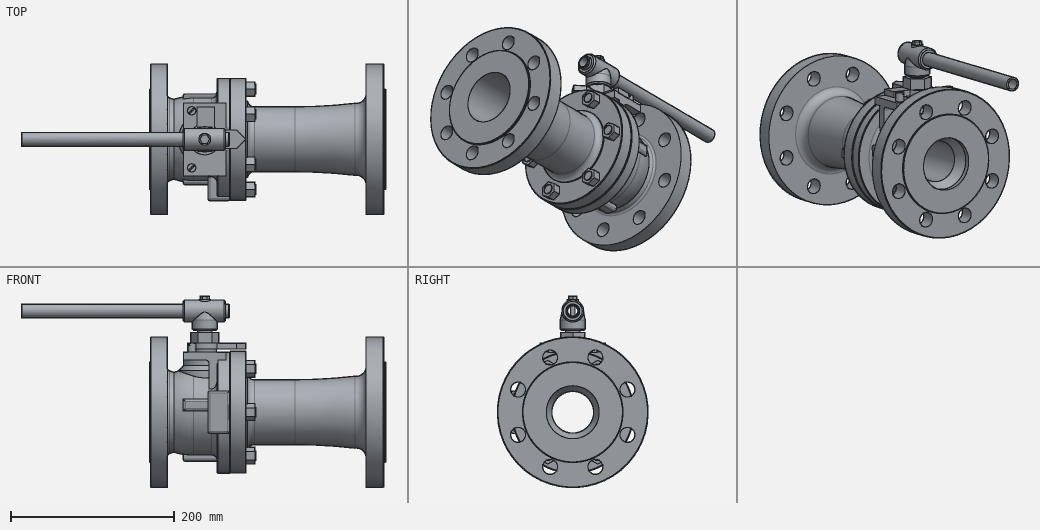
import cadquery as cq
import math


INLET_X = -68.0
FACE_TO_FACE = 290.0
OUTLET_X = INLET_X + FACE_TO_FACE

FLANGE_D = 185.0
RAISED_FACE_D = 123.5
INLET_RAISE = 1.5
OUTLET_RAISE = 2.5
FLANGE_CHAMFER = 0.8
INLET_FLANGE_BACK_X = -45.7
OUTLET_FLANGE_BACK_X = 197.6
FLANGE_HOLE_D = 18.15
FLANGE_HOLE_CIRCLE_D = 145.0
FLANGE_HOLE_COUNT = 8
HUB_D = 108.0

PORT_D = 65.0
SEAT_D = 50.9
PORT_STRAIGHT_DEPTH = 7.0
CONE_DEPTH = 15.0

HUB_FILLET_END_X = -43.3
HUB_FILLET_END_D = 102.0
HOUSING_WAIST_X = -38.0
HOUSING_WAIST_D = 98.0
HOUSING_BARREL_X = -14.0
HOUSING_D = 106.0
ROOT_R = 40.0
JOINT_FILLET_R = 7.0
JOINT_D = 149.75
JOINT_CHAMFER = 0.9
JOINT_START_X = 15.2
JOINT_END_X = 50.7
GASKET_START_X = 30.5
GASKET_WIDTH = 1.2
GASKET_DEPTH = 1.0

PIPE_D = 80.0
COVER_HUB_D = 94.0
COVER_HUB_START_X = 52.6
COVER_HUB_END_X = 61.0
TAPER_START_X = 110.5
TAPER_END_X = 184.0
TAPER_END_D = 88.6

BOLT_COUNT = 6
HEXAGON_HALF_STEP = 30.0
BOLT_CIRCLE_D = 123.0
BOLT_HEAD_FLATS = 18.0
BOLT_HEAD_HEIGHT = 10.6
BOLT_TIP_D = 12.0
BOLT_TIP_HEIGHT = 1.3

PLATE_LENGTH = 52.5
PLATE_WIDTH = 89.5
PLATE_TOP_Z = 73.6
PLATE_THICKNESS = 9.6
NECK_D = 52.5
NECK_FLARE_TOP_Z = 57.0
NECK_FLARE_BOTTOM_Z = 51.0
WEB_START_X = 5.0
WEB_END_X = 16.0
WEB_CORNER_R = 4.0

LUG_START_X = 3.8
LUG_HEIGHT = 52.5
LUG_REACH = 75.5
LUG_EDGE_R = 2.8
RIB_START_X = -26.5
RIB_WIDTH = 14.5
SIDE_RIB_REACH = 55.8
SIDE_RIB_Z = 8.7
BOTTOM_RIB_REACH = 60.3
RIB_EDGE_R = 3.0

SCREW_D = 10.11
SCREW_HEIGHT = 11.0
SCREW_X = -16.0
SCREW_SPACING = 70.0
SCREW_SLOT_WIDTH = 1.5
SCREW_SLOT_DEPTH = 2.5
SCREW_SLOT_ANGLE = 45.0

STEM_D = 18.15
GLAND_D = 29.07
STOP_PLATE_BOTTOM_Z = 77.3
STOP_PLATE_TOP_Z = 84.6
STOP_PLATE_D = 38.0
POINTER_WIDTH = 22.8
POINTER_SHOULDER_X = 39.0
POINTER_TIP_X = 50.3
STOP_ARM_START_X = -9.5
STOP_ARM_END_X = 12.0
STOP_ARM_REACH = 39.5
NUT_FLATS = 29.8
NUT_TOP_Z = 98.0

LEVER_Z = 124.1
COLLAR_D = 31.0
COLLAR_BOTTOM_Z = 100.3
COLLAR_CHAMFER = 1.8
COLLAR_TOP_Z = 113.0
COLLAR_CROWN_HEIGHT = 10.5
COLLAR_CROWN_INSET = 2.2
SLEEVE_D = 27.0
SLEEVE_START_X = -26.5
SLEEVE_END_X = 25.2
SLEEVE_CHAMFER = 1.8
ROD_D = 17.1
ROD_BORE_D = 12.48
ROD_START_X = -224.5
ROD_END_X = 30.5
ROD_END_CHAMFER = 1.2
CLAMP_SCREW_D = 6.0
CLAMP_HEAD_FLATS = 10.11
CLAMP_COLLAR_D = 14.5
CLAMP_COLLAR_TOP_Z = 138.5
CLAMP_TOP_Z = 142.41


def cylinder_x(diameter, start_x, end_x, z=0.0):
    """Cylinder parallel to the X axis."""
    return cq.Workplane("YZ", origin=(start_x, 0, z)).circle(diameter / 2).extrude(end_x - start_x)


def cylinder_z(diameter, bottom_z, top_z):
    """Cylinder on the stem axis."""
    return cq.Workplane("XY", origin=(0, 0, bottom_z)).circle(diameter / 2).extrude(top_z - bottom_z)


def block(x_range, y_range, z_range):
    """Axis-aligned box given by its limits."""
    size = [high - low for low, high in (x_range, y_range, z_range)]
    corner = (x_range[0], y_range[0], z_range[0])
    return cq.Workplane("XY").box(*size, centered=False).translate(corner)


def hexagon_diameter(flats):
    """Corner-to-corner size of a hexagon from its width across flats."""
    return flats / math.cos(math.pi / 6)


def concave_mid(wide, narrow):
    """Point on a concave fillet, midway from a wide face to a narrower cylinder."""
    bend = 1 - math.sqrt(0.5)
    x = wide[0] + (narrow[0] - wide[0]) * bend
    r = narrow[1] + (wide[1] - narrow[1]) * bend
    return (x, r)


def arc_mid_level_at_end(start, end):
    """Midpoint of the arc from start to end that is parallel to the X axis at its end."""
    run = end[0] - start[0]
    rise = end[1] - start[1]
    radius = (run**2 + rise**2) / (2 * rise)
    half_angle = math.asin(run / radius) / 2
    return (end[0] - radius * math.sin(half_angle), end[1] - radius * (1 - math.cos(half_angle)))


def make_body():
    """Revolved flanges, ball housing, bolted joint and outlet pipe, without the passage."""
    hub_start = (INLET_FLANGE_BACK_X, HUB_D / 2)
    hub_end = (HUB_FILLET_END_X, HUB_FILLET_END_D / 2)
    waist = (HOUSING_WAIST_X, HOUSING_WAIST_D / 2)
    barrel = (HOUSING_BARREL_X, HOUSING_D / 2)
    joint_fillet_start = (JOINT_START_X - JOINT_FILLET_R, HOUSING_D / 2)
    joint_fillet_end = (JOINT_START_X, HOUSING_D / 2 + JOINT_FILLET_R)
    cover_hub = (COVER_HUB_START_X, COVER_HUB_D / 2)
    pipe_start = (COVER_HUB_END_X, PIPE_D / 2)
    taper_start = (TAPER_START_X, PIPE_D / 2)
    taper_end = (TAPER_END_X, TAPER_END_D / 2)
    outlet_hub = (OUTLET_FLANGE_BACK_X, HUB_D / 2)
    inlet_front_x = INLET_X + INLET_RAISE
    outlet_front_x = OUTLET_X - OUTLET_RAISE
    face_r = RAISED_FACE_D / 2
    flange_r = FLANGE_D / 2
    joint_r = JOINT_D / 2
    profile = (
        cq.Workplane("XZ")
        .moveTo(INLET_X, 0)
        .lineTo(INLET_X, face_r - FLANGE_CHAMFER)
        .lineTo(INLET_X + FLANGE_CHAMFER, face_r)
        .lineTo(inlet_front_x, face_r)
        .lineTo(inlet_front_x, flange_r - FLANGE_CHAMFER)
        .lineTo(inlet_front_x + FLANGE_CHAMFER, flange_r)
        .lineTo(INLET_FLANGE_BACK_X, flange_r)
        .lineTo(*hub_start)
        .threePointArc(concave_mid(hub_start, hub_end), hub_end)
        .lineTo(*waist)
        .threePointArc(arc_mid_level_at_end(waist, barrel), barrel)
        .lineTo(*joint_fillet_start)
        .threePointArc(concave_mid(joint_fillet_end, joint_fillet_start), joint_fillet_end)
        .lineTo(JOINT_START_X, joint_r - JOINT_CHAMFER)
        .lineTo(JOINT_START_X + JOINT_CHAMFER, joint_r)
        .lineTo(JOINT_END_X - JOINT_CHAMFER, joint_r)
        .lineTo(JOINT_END_X, joint_r - JOINT_CHAMFER)
        .lineTo(JOINT_END_X, COVER_HUB_D / 2)
        .lineTo(*cover_hub)
        .threePointArc(concave_mid(cover_hub, pipe_start), pipe_start)
        .lineTo(*taper_start)
        .threePointArc(arc_mid_level_at_end(taper_end, taper_start), taper_end)
        .threePointArc(concave_mid(outlet_hub, taper_end), outlet_hub)
        .lineTo(OUTLET_FLANGE_BACK_X, flange_r)
        .lineTo(outlet_front_x - FLANGE_CHAMFER, flange_r)
        .lineTo(outlet_front_x, flange_r - FLANGE_CHAMFER)
        .lineTo(outlet_front_x, face_r)
        .lineTo(OUTLET_X - FLANGE_CHAMFER, face_r)
        .lineTo(OUTLET_X, face_r - FLANGE_CHAMFER)
        .lineTo(OUTLET_X, 0)
        .close()
    )
    body = profile.revolve(360, (0, 0, 0), (1, 0, 0))
    gasket_end_x = GASKET_START_X + GASKET_WIDTH
    groove = cylinder_x(JOINT_D, GASKET_START_X, gasket_end_x).cut(
        cylinder_x(JOINT_D - 2 * GASKET_DEPTH, GASKET_START_X, gasket_end_x)
    )
    crown = block((JOINT_START_X, GASKET_START_X), (-joint_r, joint_r), (PLATE_TOP_Z, joint_r))
    return body.cut(groove).cut(crown)


def make_passage():
    """Flow passage: full-size ports that narrow by cones to the bore of the ball."""
    inlet_cone_x = INLET_X + PORT_STRAIGHT_DEPTH
    seat_x = inlet_cone_x + CONE_DEPTH
    return (
        cq.Workplane("XZ")
        .moveTo(INLET_X, 0)
        .lineTo(INLET_X, PORT_D / 2)
        .lineTo(inlet_cone_x, PORT_D / 2)
        .lineTo(seat_x, SEAT_D / 2)
        .lineTo(-seat_x, SEAT_D / 2)
        .lineTo(-inlet_cone_x, PORT_D / 2)
        .lineTo(OUTLET_X, PORT_D / 2)
        .lineTo(OUTLET_X, 0)
        .close()
        .revolve(360, (0, 0, 0), (1, 0, 0))
    )


def make_flange_holes():
    """Bolt holes through both pipe flanges, straddling the vertical centre line."""
    half_step = 180 / FLANGE_HOLE_COUNT

    def ring(start_x, end_x):
        return (
            cq.Workplane("YZ", origin=(start_x, 0, 0))
            .polarArray(FLANGE_HOLE_CIRCLE_D / 2, half_step, 360, FLANGE_HOLE_COUNT)
            .circle(FLANGE_HOLE_D / 2)
            .extrude(end_x - start_x)
        )

    return ring(INLET_X, INLET_FLANGE_BACK_X).union(ring(OUTLET_FLANGE_BACK_X, OUTLET_X))


def make_joint_bolts():
    """Hexagon heads with short tips around the cover flange."""
    head = (
        cq.Workplane("YZ", origin=(JOINT_END_X, 0, 0))
        .polygon(6, hexagon_diameter(BOLT_HEAD_FLATS))
        .extrude(BOLT_HEAD_HEIGHT)
        .rotate((0, 0, 0), (1, 0, 0), HEXAGON_HALF_STEP)
    )
    tip_x = JOINT_END_X + BOLT_HEAD_HEIGHT
    bolt = head.union(cylinder_x(BOLT_TIP_D, tip_x, tip_x + BOLT_TIP_HEIGHT))
    bolts = cq.Workplane("XY")
    for index in range(BOLT_COUNT):
        angle = 2 * math.pi * index / BOLT_COUNT
        y = BOLT_CIRCLE_D / 2 * math.cos(angle)
        z = BOLT_CIRCLE_D / 2 * math.sin(angle)
        bolts = bolts.union(bolt.translate((0, y, z)))
    return bolts


def make_mount():
    """Mounting plate, the round neck under it and the transverse web that carries it."""
    half_width = PLATE_WIDTH / 2
    plate_bottom_z = PLATE_TOP_Z - PLATE_THICKNESS
    plate = block(
        (-PLATE_LENGTH / 2, PLATE_LENGTH / 2),
        (-half_width, half_width),
        (plate_bottom_z, PLATE_TOP_Z),
    )
    web_bottom_z = math.sqrt((HOUSING_D / 2) ** 2 - half_width**2)
    web = (
        cq.Workplane("XZ", origin=(0, half_width, 0))
        .moveTo(WEB_START_X, web_bottom_z)
        .lineTo(WEB_START_X, plate_bottom_z - WEB_CORNER_R)
        .radiusArc((WEB_START_X - WEB_CORNER_R, plate_bottom_z), -WEB_CORNER_R)
        .lineTo(WEB_END_X, plate_bottom_z)
        .lineTo(WEB_END_X, web_bottom_z)
        .close()
        .extrude(PLATE_WIDTH)
    )
    neck = cylinder_z(NECK_D, PORT_D / 2, plate_bottom_z)
    flare_height = NECK_FLARE_TOP_Z - NECK_FLARE_BOTTOM_Z
    flare = cylinder_z(NECK_D + 2 * flare_height, PORT_D / 2, NECK_FLARE_TOP_Z)
    flare = flare.faces(">Z").edges().chamfer(flare_height)
    return plate.union(web).union(neck).union(flare)


def make_lug():
    """Rectangular lug on the -Y side with rounded outer edges."""
    half_height = LUG_HEIGHT / 2
    lug = block(
        (LUG_START_X, GASKET_START_X),
        (-LUG_REACH, -ROOT_R),
        (-half_height, half_height),
    )
    lug = lug.faces("<X").edges("|Y").fillet(LUG_EDGE_R)
    return lug.faces("<Y").edges().fillet(LUG_EDGE_R)


def make_ribs():
    """Lengthwise ribs on both sides and the underside of the housing."""
    half = RIB_WIDTH / 2
    side_z = (SIDE_RIB_Z - half, SIDE_RIB_Z + half)
    rib_x = (RIB_START_X, JOINT_START_X)
    near = block(rib_x, (-SIDE_RIB_REACH, -ROOT_R), side_z)
    far = block(rib_x, (ROOT_R, SIDE_RIB_REACH), side_z)
    under = block(rib_x, (-half, half), (-BOTTOM_RIB_REACH, -ROOT_R))
    near = near.faces("<Y").edges("|X or <X").fillet(RIB_EDGE_R)
    far = far.faces(">Y").edges("|X or <X").fillet(RIB_EDGE_R)
    under = under.faces("<Z").edges("|X or <X").fillet(RIB_EDGE_R)
    return near.union(far).union(under)


def make_stop_screws():
    """Two slotted screws standing on the mounting plate."""
    top_z = PLATE_TOP_Z + SCREW_HEIGHT
    slot = (
        cq.Workplane("XY", origin=(0, 0, top_z - SCREW_SLOT_DEPTH))
        .rect(2 * SCREW_D, SCREW_SLOT_WIDTH)
        .extrude(SCREW_SLOT_DEPTH)
        .rotate((0, 0, 0), (0, 0, 1), SCREW_SLOT_ANGLE)
    )
    screw = cylinder_z(SCREW_D, PLATE_TOP_Z, top_z).cut(slot)
    half = SCREW_SPACING / 2
    return screw.translate((SCREW_X, half, 0)).union(screw.translate((SCREW_X, -half, 0)))


def make_stem():
    """Stem with gland, pointed stop plate and hexagon nut."""
    stem = cylinder_z(STEM_D, PLATE_TOP_Z, COLLAR_TOP_Z)
    gland = cylinder_z(GLAND_D, PLATE_TOP_Z, STOP_PLATE_BOTTOM_Z)
    thickness = STOP_PLATE_TOP_Z - STOP_PLATE_BOTTOM_Z
    half_pointer = POINTER_WIDTH / 2
    pointer = (
        cq.Workplane("XY", origin=(0, 0, STOP_PLATE_BOTTOM_Z))
        .polyline([
            (0, -half_pointer),
            (POINTER_SHOULDER_X, -half_pointer),
            (POINTER_TIP_X, 0),
            (POINTER_SHOULDER_X, half_pointer),
            (0, half_pointer),
        ])
        .close()
        .extrude(thickness)
    )
    arm = block(
        (STOP_ARM_START_X, STOP_ARM_END_X),
        (0, STOP_ARM_REACH),
        (STOP_PLATE_BOTTOM_Z, STOP_PLATE_TOP_Z),
    )
    disc = cylinder_z(STOP_PLATE_D, STOP_PLATE_BOTTOM_Z, STOP_PLATE_TOP_Z)
    nut = (
        cq.Workplane("XY", origin=(0, 0, STOP_PLATE_TOP_Z))
        .polygon(6, hexagon_diameter(NUT_FLATS))
        .extrude(NUT_TOP_Z - STOP_PLATE_TOP_Z)
    )
    return stem.union(gland).union(disc).union(pointer).union(arm).union(nut)


def make_lever():
    """Collar, cross sleeve, tubular rod and clamping screw."""
    collar = cylinder_z(COLLAR_D, COLLAR_BOTTOM_Z, COLLAR_TOP_Z + COLLAR_CROWN_HEIGHT)
    collar = collar.faces(">Z").edges().chamfer(COLLAR_CROWN_HEIGHT, COLLAR_CROWN_INSET)
    collar = collar.faces("<Z").edges().chamfer(COLLAR_CHAMFER)
    sleeve = cylinder_x(SLEEVE_D, SLEEVE_START_X, SLEEVE_END_X, LEVER_Z)
    sleeve = sleeve.faces("<X or >X").edges().chamfer(SLEEVE_CHAMFER)
    rod = cylinder_x(ROD_D, ROD_START_X, ROD_END_X, LEVER_Z)
    rod = rod.faces(">X").edges().chamfer(ROD_END_CHAMFER)
    bore = cylinder_x(ROD_BORE_D, ROD_START_X, ROD_END_X, LEVER_Z)
    shank = cylinder_z(CLAMP_SCREW_D, LEVER_Z - SLEEVE_D / 2, CLAMP_TOP_Z)
    seat = cylinder_z(CLAMP_COLLAR_D, LEVER_Z + ROD_D / 2, CLAMP_COLLAR_TOP_Z)
    head = (
        cq.Workplane("XY", origin=(0, 0, CLAMP_COLLAR_TOP_Z))
        .polygon(6, hexagon_diameter(CLAMP_HEAD_FLATS))
        .extrude(CLAMP_TOP_Z - CLAMP_COLLAR_TOP_Z)
    )
    lever = collar.union(sleeve).union(rod).cut(bore)
    return lever.union(seat).union(head).union(shank)


body = make_body().union(make_mount()).union(make_lug()).union(make_ribs())
body = body.cut(make_passage()).cut(make_flange_holes())
result = body.union(make_joint_bolts()).union(make_stop_screws()).union(make_stem()).union(make_lever())